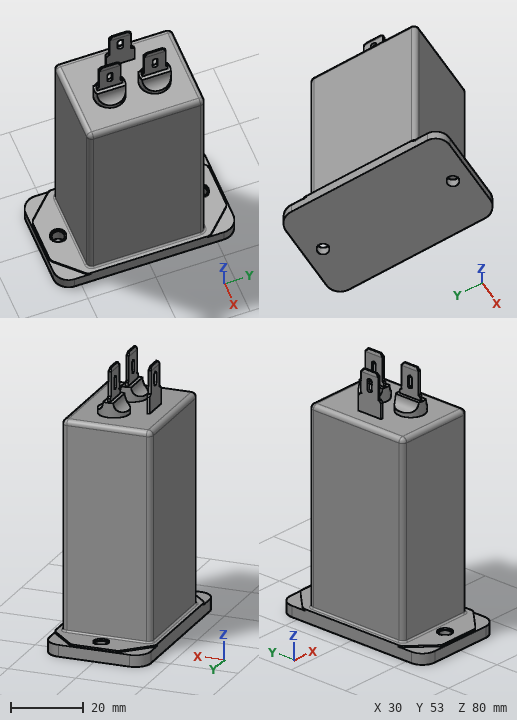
import cadquery as cq

FLANGE_WIDTH = 30.0
FLANGE_LENGTH = 53.0
FLANGE_THICKNESS = 3.5
FLANGE_CORNER_RADIUS = 4.5

PAD_LENGTH = FLANGE_LENGTH - 1.0
PAD_HEIGHT = 0.5
PAD_CORNER_CUT = 8.0
PAD_CORNER_RADIUS = 2.0
PAD_TOP = FLANGE_THICKNESS + PAD_HEIGHT

HOLE_SPACING = 42.0
HOLE_DIAMETER = 3.5
COUNTERBORE_DIAMETER = 4.5
COUNTERBORE_DEPTH = 0.5

BODY_WIDTH = 26.5
BODY_LENGTH = 34.5
BODY_TOP = 66.0
BODY_EDGE_RADIUS = 1.5
BODY_BASE_FILLET = 0.5

BOSS_X = 1.95
BOSS_Y = 6.65
BOSS_DIAMETER = 9.0
BOSS_HEIGHT = 4.3
BOSS_TOP = BODY_TOP + BOSS_HEIGHT
BOSS_LAND_WIDTH = 3.0
SCOOP_RADIUS = (BOSS_DIAMETER - BOSS_LAND_WIDTH) / 2

OVERALL_HEIGHT = 80.0
BLADE_THICKNESS = 0.8
BLADE_WIDTH = 6.3
BLADE_TIP_HEIGHT = 1.0
BLADE_TIP_INSET = 0.85
BLADE_TIP_THICKNESS = 0.4
BLADE_EMBED = 1.0

BOSS_BLADE_SHOULDER_WIDTH = 7.5
BOSS_BLADE_SHOULDER_DROP = 8.2
BOSS_BLADE_SHOULDER_CHAMFER = 0.5
BOSS_BLADE_SLOT_WIDTH = 1.5
BOSS_BLADE_SLOT_LENGTH = 3.85
BOSS_BLADE_SLOT_DROP = 5.2

SIDE_BLADE_X = -7.25
SIDE_BLADE_TOP = 79.3
SIDE_BLADE_SHOULDER_WIDTH = 8.4
SIDE_BLADE_SHOULDER_DROP = 7.8
SIDE_BLADE_SHOULDER_CHAMFER = 0.7
SIDE_BLADE_SLOT_WIDTH = 1.75
SIDE_BLADE_SLOT_LENGTH = 4.0
SIDE_BLADE_SLOT_DROP = 4.4


def make_flange():
    """Round-cornered plate carrying a thin octagonal pad."""
    plate = (
        cq.Workplane("XY")
        .rect(FLANGE_WIDTH, FLANGE_LENGTH)
        .extrude(FLANGE_THICKNESS)
        .edges("|Z")
        .fillet(FLANGE_CORNER_RADIUS)
    )
    pad = (
        cq.Workplane("XY")
        .rect(FLANGE_WIDTH, PAD_LENGTH)
        .extrude(PAD_TOP)
        .edges("|Z")
        .chamfer(PAD_CORNER_CUT)
        .edges("|Z")
        .fillet(PAD_CORNER_RADIUS)
    )
    return plate.union(pad)


def make_body():
    """Tall box with rounded upright and top edges."""
    return (
        cq.Workplane("XY")
        .rect(BODY_WIDTH, BODY_LENGTH)
        .extrude(BODY_TOP)
        .edges("|Z or >Z")
        .fillet(BODY_EDGE_RADIUS)
    )


def fillet_body_base(housing):
    """Blend the foot of the body into the pad."""
    margin = 2 * BODY_BASE_FILLET
    foot_edges = cq.selectors.BoxSelector(
        (-BODY_WIDTH / 2 - margin, -BODY_LENGTH / 2 - margin, PAD_TOP - PAD_HEIGHT / 2),
        (BODY_WIDTH / 2 + margin, BODY_LENGTH / 2 + margin, PAD_TOP + PAD_HEIGHT / 2),
        boundingbox=True,
    )
    return housing.edges(foot_edges).fillet(BODY_BASE_FILLET)


def make_mounting_holes():
    """Through holes with shallow counterbores."""
    centers = [(0, HOLE_SPACING / 2), (0, -HOLE_SPACING / 2)]
    holes = cq.Workplane("XY").pushPoints(centers).circle(HOLE_DIAMETER / 2).extrude(PAD_TOP)
    counterbores = (
        cq.Workplane("XY", origin=(0, 0, PAD_TOP))
        .pushPoints(centers)
        .circle(COUNTERBORE_DIAMETER / 2)
        .extrude(-COUNTERBORE_DEPTH)
    )
    return holes.union(counterbores)


def make_boss(y):
    """Round boss with a concave scoop on each side of a flat land."""
    boss_radius = BOSS_DIAMETER / 2
    boss = (
        cq.Workplane("XY", origin=(BOSS_X, y, BODY_TOP))
        .circle(boss_radius)
        .extrude(BOSS_HEIGHT)
    )
    for side in (-1, 1):
        scoop = (
            cq.Workplane("XZ", origin=(BOSS_X + side * boss_radius, y + boss_radius, BOSS_TOP))
            .circle(SCOOP_RADIUS)
            .extrude(BOSS_DIAMETER)
        )
        boss = boss.cut(scoop)
    return boss


def make_blade(
    x,
    y,
    bottom,
    top,
    shoulder_width,
    shoulder_drop,
    shoulder_chamfer,
    slot_width,
    slot_length,
    slot_drop,
):
    """Flat upright terminal with a tapered tip, chamfered shoulders and a slot."""
    half_blade = BLADE_WIDTH / 2
    half_tip = half_blade - BLADE_TIP_INSET
    half_shoulder = shoulder_width / 2
    tip_start = top - BLADE_TIP_HEIGHT
    shoulder_top = top - shoulder_drop
    half_outline = [
        (half_shoulder, bottom),
        (half_shoulder, shoulder_top - shoulder_chamfer),
        (half_shoulder - shoulder_chamfer, shoulder_top),
        (half_blade, shoulder_top),
        (half_blade, tip_start),
        (half_tip, top),
    ]
    mirrored_outline = [(-across, up) for across, up in reversed(half_outline)]
    blade = (
        cq.Workplane("YZ", origin=(x, y, 0))
        .polyline(half_outline + mirrored_outline)
        .close()
        .extrude(BLADE_THICKNESS / 2, both=True)
    )
    half_thickness = BLADE_THICKNESS / 2
    half_tip_thickness = BLADE_TIP_THICKNESS / 2
    tapered_envelope = (
        cq.Workplane("XZ", origin=(x, y, 0))
        .polyline([
            (-half_thickness, bottom),
            (half_thickness, bottom),
            (half_thickness, tip_start),
            (half_tip_thickness, top),
            (-half_tip_thickness, top),
            (-half_thickness, tip_start),
        ])
        .close()
        .extrude(half_shoulder, both=True)
    )
    slot = (
        cq.Workplane("YZ", origin=(x, y, top - slot_drop))
        .slot2D(slot_length, slot_width, 90)
        .extrude(BLADE_THICKNESS, both=True)
    )
    return blade.intersect(tapered_envelope).cut(slot)


def make_boss_blade(y):
    """Blade standing on a boss."""
    return make_blade(
        BOSS_X,
        y,
        BOSS_TOP - BLADE_EMBED,
        OVERALL_HEIGHT,
        BOSS_BLADE_SHOULDER_WIDTH,
        BOSS_BLADE_SHOULDER_DROP,
        BOSS_BLADE_SHOULDER_CHAMFER,
        BOSS_BLADE_SLOT_WIDTH,
        BOSS_BLADE_SLOT_LENGTH,
        BOSS_BLADE_SLOT_DROP,
    )


def make_side_blade():
    """Blade standing directly on the body top."""
    return make_blade(
        SIDE_BLADE_X,
        0,
        BODY_TOP - BLADE_EMBED,
        SIDE_BLADE_TOP,
        SIDE_BLADE_SHOULDER_WIDTH,
        SIDE_BLADE_SHOULDER_DROP,
        SIDE_BLADE_SHOULDER_CHAMFER,
        SIDE_BLADE_SLOT_WIDTH,
        SIDE_BLADE_SLOT_LENGTH,
        SIDE_BLADE_SLOT_DROP,
    )


housing = fillet_body_base(make_flange().union(make_body()))
housing = housing.cut(make_mounting_holes())
for boss_y in (-BOSS_Y, BOSS_Y):
    housing = housing.union(make_boss(boss_y)).union(make_boss_blade(boss_y))
result = housing.union(make_side_blade())